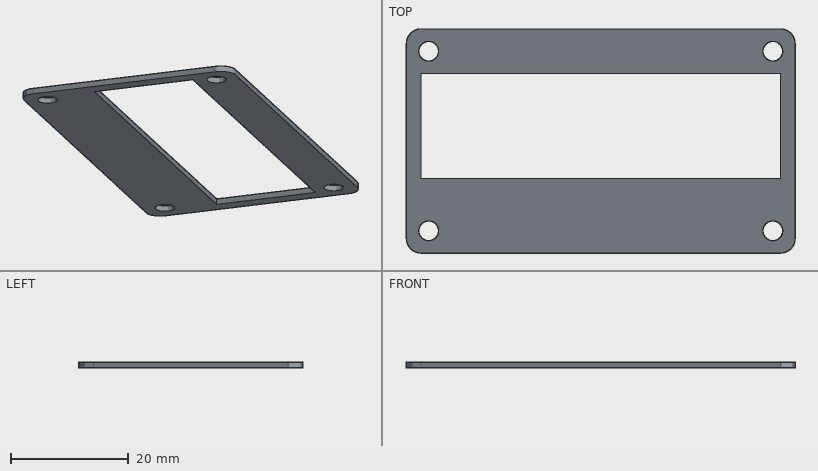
import cadquery as cq

length = 66.04
width = 38.1
thickness = 1.0
corner_radius = 2.54

hole_diameter = 3.3
hole_edge_distance = 3.81

window_side_margin = 2.54
window_top_margin = 7.62
window_width = 17.78
window_length = length - 2 * window_side_margin
window_center_y = width / 2 - window_top_margin - window_width / 2


def make_plate():
    """Flat plate with rounded corners, resting on Z = 0."""
    plate = cq.Workplane("XY").rect(length, width).extrude(thickness)
    return plate.edges("|Z").fillet(corner_radius)


def cut_mounting_holes(plate):
    """Four through holes at equal distances from the plate edges."""
    spacing_x = length - 2 * hole_edge_distance
    spacing_y = width - 2 * hole_edge_distance
    holes = (
        cq.Workplane("XY")
        .rect(spacing_x, spacing_y, forConstruction=True)
        .vertices()
        .circle(hole_diameter / 2)
        .extrude(thickness)
    )
    return plate.cut(holes)


def cut_window(plate):
    """Sharp-cornered rectangular opening through the plate."""
    window = (
        cq.Workplane("XY")
        .center(0, window_center_y)
        .rect(window_length, window_width)
        .extrude(thickness)
    )
    return plate.cut(window)


result = cut_window(cut_mounting_holes(make_plate()))